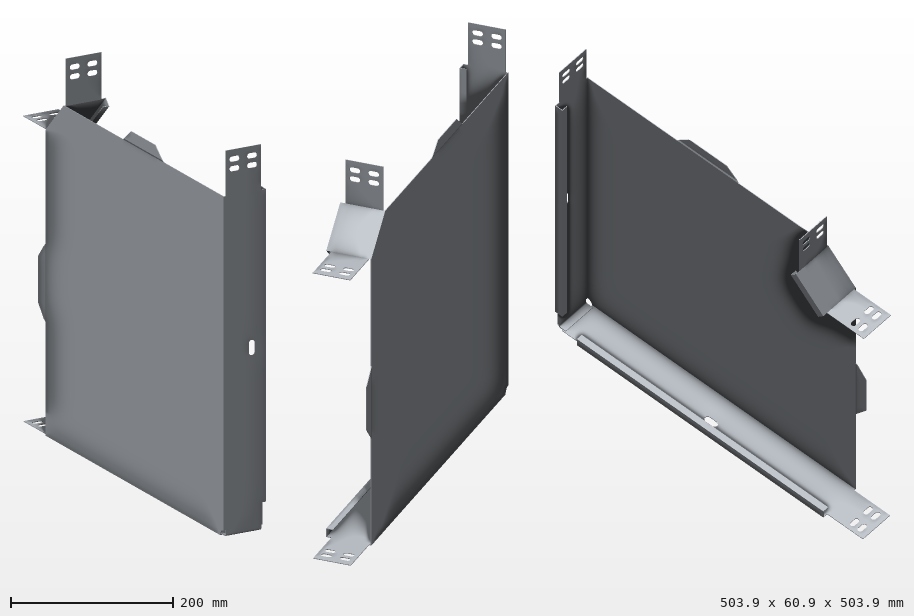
import cadquery as cq
import math

sheet = 0.9
overall_length = 503.94
plate_size = 443.2
corner_relief_radius = 8.5
corner_outer_radius = 3.0
corner_inner_radius = 1.5
inner_chamfer = 45.2

rim_height = 60.0
wall_height = 55.5
rim_depth = 12.0
rim_return = 9.0
rim_setback = 36.0

tongue_bottom = 3.0
tongue_top = 53.0
outer_tongue_end = overall_length - 1.5

tongue_slot_length = 14.0
tongue_slot_width = 7.0
tongue_slot_from_end = (12.5, 25.0)
tongue_slot_heights = (15.5, 40.5)
wall_slot_length = 20.0
wall_slot_width = 8.5
wall_slot_x = -240.0
wall_slot_height = 40.0

lug_base = 101.0
lug_tip = 60.0
lug_reach = 17.0
joggle_length = 2.4
lug_centre_x = -(plate_size - inner_chamfer) / 2

flap_length = 12.0
flap_bottom = 3.5
flap_top = 53.5
wall_end_step = 7.0


def mirrored(shape):
    """Reflects a shape about the diagonal plane of the bend."""
    return shape.mirror(cq.Vector(1, 0, 1))


def block(x_range, y_range, z_range):
    """Box spanning the given ranges."""
    size = [high - low for low, high in (x_range, y_range, z_range)]
    return cq.Workplane("XY").box(*size, centered=False).translate((x_range[0], y_range[0], z_range[0]))


def prism(points, y_start, y_end):
    """Outline in (x, z), extruded from y_start to y_end."""
    return cq.Workplane("XZ", origin=(0, y_start, 0)).polyline(points).close().extrude(y_start - y_end)


def base_plate():
    return prism(
        [
            (0, 0),
            (0, plate_size),
            (inner_chamfer - plate_size, plate_size),
            (-plate_size, plate_size - inner_chamfer),
            (-plate_size, 0),
        ],
        0,
        sheet,
    )


def rim(length):
    """J-shaped rim on top of a wall, running from x = 0 to x = length with the wall face on z = 0."""
    web_base = wall_height - sheet
    profile = [
        (web_base, 0),
        (rim_height, 0),
        (rim_height, rim_depth),
        (rim_height - rim_return, rim_depth),
        (rim_height - rim_return, rim_depth - sheet),
        (rim_height - sheet, rim_depth - sheet),
        (rim_height - sheet, sheet),
        (web_base, sheet),
    ]
    return cq.Workplane("YZ").polyline(profile).close().extrude(length)


def tongue_slots(tongue_end, z_centre):
    """Cutters for the four slots of a tongue that lies in a horizontal plane."""
    centres = [
        (distance - tongue_end, height)
        for distance in tongue_slot_from_end
        for height in tongue_slot_heights
    ]
    return (
        cq.Workplane("XY", origin=(0, 0, z_centre))
        .pushPoints(centres)
        .slot2D(tongue_slot_length, tongue_slot_width, 90)
        .extrude(2 * sheet, both=True)
    )


def outer_wall():
    """Wall along the bottom edge, stepped down at the outer corner, with its rim, tongue and slots."""
    wall = block((-plate_size, 0), (0, wall_height), (0, sheet))
    wall = wall.cut(block((-wall_end_step, 0), (flap_top, wall_height), (0, sheet)))
    wall = wall.union(rim(plate_size - rim_setback).translate((-plate_size, 0, 0)))
    tongue = block((-outer_tongue_end, -plate_size + sheet), (tongue_bottom, tongue_top), (0, sheet))
    wall = wall.union(tongue).cut(tongue_slots(outer_tongue_end, 0))
    wall_slot = (
        cq.Workplane("XY")
        .center(wall_slot_x, wall_slot_height)
        .slot2D(wall_slot_length, wall_slot_width)
        .extrude(sheet)
    )
    return wall.cut(wall_slot)


def inner_wall():
    """Diagonal wall across the inner corner, with its rim."""
    length = inner_chamfer * math.sqrt(2)
    wall = block((0, length), (0, wall_height), (0, sheet)).union(rim(length))
    wall = wall.mirror("XY").rotate((0, 0, 0), (0, 1, 0), -45)
    return wall.translate((-plate_size, 0, plate_size - inner_chamfer))


def inner_tongue():
    """Horizontal tongue at the lower end of the diagonal wall."""
    top = plate_size - inner_chamfer
    tongue = block((-overall_length, -plate_size + sheet), (tongue_bottom, tongue_top), (top - sheet, top))
    return tongue.cut(tongue_slots(overall_length, top))


def lug():
    """Trapezoidal lug on the top edge, joggled one sheet thickness forward of the plate."""
    tip_z = plate_size + lug_reach
    bend_z = plate_size + joggle_length
    profile = [
        (0, plate_size - sheet),
        (0, plate_size),
        (-sheet, bend_z),
        (-sheet, tip_z),
        (0, tip_z),
        (0, bend_z),
        (sheet, plate_size),
        (sheet, plate_size - sheet),
    ]
    strip = (
        cq.Workplane("YZ", origin=(lug_centre_x, 0, 0))
        .polyline(profile)
        .close()
        .extrude(lug_base / 2, both=True)
    )
    outline = [
        (lug_centre_x - lug_base / 2, plate_size - sheet),
        (lug_centre_x - lug_base / 2, plate_size),
        (lug_centre_x - lug_tip / 2, tip_z),
        (lug_centre_x + lug_tip / 2, tip_z),
        (lug_centre_x + lug_base / 2, plate_size),
        (lug_centre_x + lug_base / 2, plate_size - sheet),
    ]
    return strip.intersect(prism(outline, -sheet, sheet))


def corner_flap():
    """Flap of the right-hand wall, lying on the bottom wall, with the rounded inside of its bend."""
    flap = prism(
        [
            (-flap_length, sheet),
            (0, sheet),
            (0, flap_length),
            (-sheet, flap_length),
            (-sheet, 2 * sheet),
            (-flap_length, 2 * sheet),
        ],
        flap_bottom,
        flap_top,
    )
    inside_edge = cq.selectors.NearestToPointSelector((-sheet, (flap_bottom + flap_top) / 2, 2 * sheet))
    return flap.edges(inside_edge).fillet(corner_inner_radius)


def corner_relief():
    """Cutter for the round bend relief in the plate and wall feet at the outer corner."""
    return cq.Workplane("XZ").circle(corner_relief_radius).extrude(-flap_bottom)


def corner_rounding():
    """Cutter that rounds the outer corner edge where the two walls meet."""
    square = block((-corner_outer_radius, 0), (0, rim_height), (0, corner_outer_radius))
    return square.cut(
        cq.Workplane("XZ")
        .center(-corner_outer_radius, corner_outer_radius)
        .circle(corner_outer_radius)
        .extrude(-rim_height)
    )


result = base_plate().union(inner_wall())
for feature in (outer_wall(), inner_tongue(), lug()):
    result = result.union(feature).union(mirrored(feature))
result = result.union(corner_flap()).cut(corner_relief()).cut(corner_rounding())